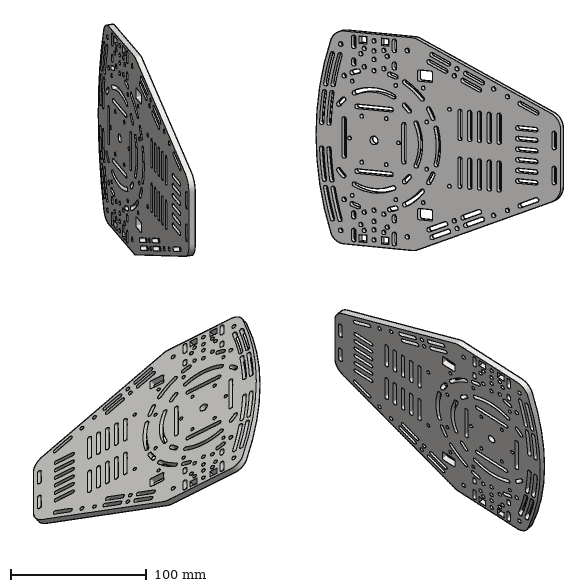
import cadquery as cq
import math


length = 199.5
height = 160.0
thickness = 5.0
right_x = length / 2
left_x = -length / 2
top_z = height / 2
nose_radius = 223.5
nose_center_x = left_x + nose_radius
left_corner_radius = 11.4
right_corner_radius = 13.0
shoulder_radius = 10.0

slope_angle = 22.8
slope_distance = 66.5
slope_cos = math.cos(math.radians(slope_angle))
slope_sin = math.sin(math.radians(slope_angle))

small_hole = 2.8
medium_hole = 3.2
large_hole = 3.4
slot_radius = 1.65
slot_width = 2 * slot_radius
short_slot_length = 18.0

hub_x = -52.5
hub_hole = 6.4
bolt_circle_radius = 20.0
inner_ring_radius = 38.0
middle_ring_radius = 46.5
outer_ring_radius = 52.5
hub_slot_offset = 24.3
hub_slot_length = 31.1


def slope_point(along, inset):
    """Point at a distance along the sloped edge and inset from it."""
    depth = slope_distance - inset
    return (along * slope_cos + depth * slope_sin, depth * slope_cos - along * slope_sin)


def ring_point(radius, angle, center_x=hub_x):
    """Point on a circle centred on the x axis."""
    turn = math.radians(angle)
    return (center_x + radius * math.cos(turn), radius * math.sin(turn))


def mirrored(points):
    """The points together with their mirror images below z = 0."""
    return points + [(x, -z) for x, z in points]


def both_sides(offset, z):
    """Two points at equal distances left and right of the hub."""
    return [(hub_x - offset, z), (hub_x + offset, z)]


def front_plane():
    return cq.Workplane("XZ")


def cut_through(plate, profile):
    return plate.cut(profile.extrude(-thickness))


def cut_holes(plate, diameter, points):
    return cut_through(plate, front_plane().pushPoints(points).circle(diameter / 2))


def cut_slots(plate, points, overall_length, angle):
    return cut_through(plate, front_plane().pushPoints(points).slot2D(overall_length, slot_width, angle))


def cut_windows(plate, points, width, window_height, corner_radius=0):
    windows = front_plane().pushPoints(points).rect(width, window_height).extrude(-thickness)
    if corner_radius:
        windows = windows.edges("|Y").fillet(corner_radius)
    return plate.cut(windows)


def cut_arc_slot(plate, radius, start, end, center_x=hub_x):
    """Round-ended slot following a circle between two end-centre angles."""
    outer = radius + slot_radius
    inner = radius - slot_radius
    middle = (start + end) / 2
    cap = math.degrees(slot_radius / radius)
    profile = (
        front_plane()
        .moveTo(*ring_point(outer, start, center_x))
        .threePointArc(ring_point(outer, middle, center_x), ring_point(outer, end, center_x))
        .threePointArc(ring_point(radius, end + cap, center_x), ring_point(inner, end, center_x))
        .threePointArc(ring_point(inner, middle, center_x), ring_point(inner, start, center_x))
        .threePointArc(ring_point(radius, start - cap, center_x), ring_point(outer, start, center_x))
        .close()
    )
    return cut_through(plate, profile)


def make_plate():
    nose_x = nose_center_x - math.sqrt(nose_radius**2 - top_z**2)
    shoulder_x = (slope_distance - top_z * slope_cos) / slope_sin
    right_z = (slope_distance - right_x * slope_sin) / slope_cos
    blank = (
        front_plane()
        .moveTo(nose_x, top_z)
        .lineTo(shoulder_x, top_z)
        .lineTo(right_x, right_z)
        .lineTo(right_x, -right_z)
        .lineTo(shoulder_x, -top_z)
        .lineTo(nose_x, -top_z)
        .threePointArc((left_x, 0), (nose_x, top_z))
        .close()
        .extrude(-thickness)
    )
    blank = blank.edges("|Y").edges("<X").fillet(left_corner_radius)
    blank = blank.edges("|Y").edges(">X").fillet(right_corner_radius)
    for z in (top_z, -top_z):
        corner = cq.selectors.NearestToPointSelector((shoulder_x, thickness / 2, z))
        blank = blank.edges("|Y").edges(corner).fillet(shoulder_radius)
    return blank


def cut_hub(plate):
    plate = cut_holes(plate, hub_hole, [(hub_x, 0)])
    bolt_holes = [ring_point(bolt_circle_radius, 60 * i) for i in range(6)]
    plate = cut_holes(plate, small_hole, bolt_holes)
    plate = cut_slots(plate, both_sides(hub_slot_offset, 0), hub_slot_length, 90)
    plate = cut_slots(plate, mirrored([(hub_x, hub_slot_offset)]), hub_slot_length, 0)

    middle_holes = [ring_point(middle_ring_radius, angle) for angle in (22.5, 67.5, 112.5)]
    plate = cut_holes(plate, small_hole, mirrored(middle_holes))
    plate = cut_holes(plate, large_hole, mirrored([ring_point(outer_ring_radius, 117.7)]))

    plate = cut_arc_slot(plate, outer_ring_radius, -15, 15)
    plate = cut_arc_slot(plate, inner_ring_radius, -25, 25)
    upper_slots = [
        (inner_ring_radius, 90, 25),
        (inner_ring_radius, 45, 4.2),
        (inner_ring_radius, 135, 4.2),
        (outer_ring_radius, 27.7, 4),
        (outer_ring_radius, 51.5, 10),
        (outer_ring_radius, 73, 2.9),
        (outer_ring_radius, 107, 2.9),
    ]
    for radius, middle, half_span in upper_slots:
        for side in (1, -1):
            plate = cut_arc_slot(plate, radius, side * middle - half_span, side * middle + half_span)
    return plate


def cut_nose_slots(plate):
    """Two rows of curved slots that follow the left edge."""
    row_insets = (4.4, 10.4)
    end_heights = ((9.8, 32.7), (39.1, 61.9))
    for inset in row_insets:
        radius = nose_radius - inset
        for low_z, high_z in end_heights:
            low = math.degrees(math.asin(low_z / radius))
            high = math.degrees(math.asin(high_z / radius))
            plate = cut_arc_slot(plate, radius, 180 - high, 180 - low, nose_center_x)
            plate = cut_arc_slot(plate, radius, 180 + low, 180 + high, nose_center_x)
    return plate


def cut_edge_mounts(plate):
    """Openings between the hub and the top and bottom edges."""
    slot_offset = 16.5
    long_length = 10.2
    stub_length = 6.0
    window_width = 6.0
    window_height = 5.4
    column = [(hub_x, z) for z in (52.5, 60.9, 67.2, 74.8)]
    pairs = both_sides(8.0, 54.7) + both_sides(8.0, 68.5) + both_sides(10.8, 64.2)
    plate = cut_holes(plate, medium_hole, mirrored(column + pairs))
    plate = cut_holes(plate, large_hole, mirrored(both_sides(27.1, 70.0)))
    plate = cut_slots(plate, mirrored(both_sides(slot_offset, 72.6)), long_length, 90)
    plate = cut_slots(plate, mirrored(both_sides(slot_offset, 57.5)), stub_length, 90)
    plate = cut_windows(plate, mirrored(both_sides(9.0, 74.6)), window_width, window_height)
    return plate


def cut_slope_rows(plate):
    """Slots and holes in two rows parallel to the sloped edges."""
    outer_inset = 5.2
    row_gap = 6.0
    inner_inset = outer_inset + row_gap
    insets = (outer_inset, inner_inset)
    slot_places = [slope_point(along, inset) for along in (-24.1, 5.8) for inset in insets]
    slot_places.append(slope_point(53.9, outer_inset))
    hole_places = [slope_point(-9.2, inset) for inset in insets]
    hole_places += [slope_point(along, outer_inset) for along in (23.1, 35.3)]
    plate = cut_holes(plate, medium_hole, mirrored(hole_places))
    for side in (1, -1):
        places = [(x, side * z) for x, z in slot_places]
        plate = cut_slots(plate, places, short_slot_length, -side * slope_angle)
    return plate


def cut_tail(plate):
    """Rectangular windows and straight slots right of the hub."""
    pitch = 8.0
    upright_length = 23.3
    end_slot_length = 13.8
    window_width = 12.0
    window_height = 8.4
    window_corner = 1.0
    plate = cut_windows(plate, mirrored([(-10.8, 52.0)]), window_width, window_height, window_corner)
    plate = cut_holes(plate, small_hole, mirrored([(-12.4, 43.0), (9.0, 29.0)]))
    upright = [(17.5 + pitch * i, 18.0) for i in range(5)]
    plate = cut_slots(plate, mirrored(upright), upright_length, 90)
    level = [(72.0, pitch * (i + 0.5)) for i in range(3)]
    plate = cut_slots(plate, mirrored(level), short_slot_length, 0)
    plate = cut_slots(plate, mirrored([(94.4, 13.2)]), end_slot_length, 90)
    return plate


result = make_plate()
for cut_group in (cut_hub, cut_nose_slots, cut_edge_mounts, cut_slope_rows, cut_tail):
    result = cut_group(result)